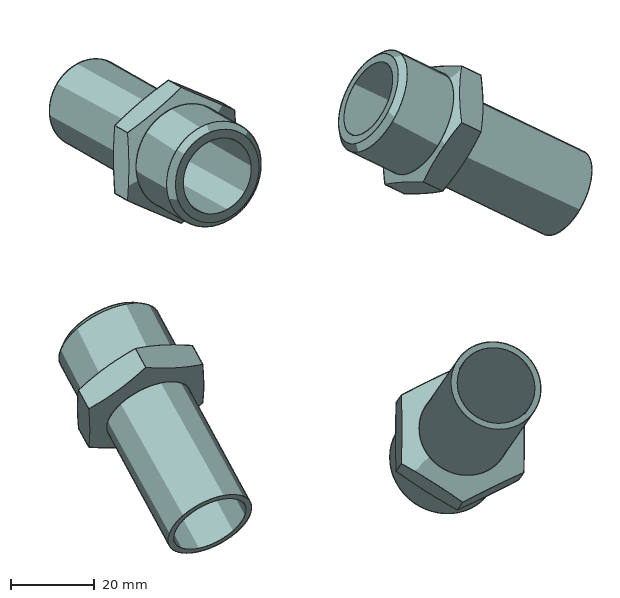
import cadquery as cq
import math

total_length = 59.0
nut_start = 34.9
nut_end = 43.5

bore_diameter = 19.0
tube_diameter = 22.0
collar_diameter = 26.45

across_flats = 30.0
across_corners = across_flats / math.cos(math.radians(30))
bevel_angle = 15.0
face_ring_width = 0.1
tube_face_diameter = tube_diameter + 2 * face_ring_width
collar_face_diameter = collar_diameter + 2 * face_ring_width

end_chamfer = 1.55


def cylinder(diameter, start, end):
    """Cylinder about the X axis between two X positions."""
    return cq.Workplane("YZ", origin=(start, 0, 0)).circle(diameter / 2).extrude(end - start)


def bevel_depth(face_diameter):
    """Axial depth of a bevel running from a face circle out to the hexagon corners."""
    return (across_corners - face_diameter) / 2 * math.tan(math.radians(bevel_angle))


def bevelled_nut():
    """Hexagon with corners along Z, bevelled by a cone on each side."""
    hexagon = (
        cq.Workplane("YZ", origin=(nut_start, 0, 0))
        .polygon(6, across_corners)
        .extrude(nut_end - nut_start)
        .rotate((0, 0, 0), (1, 0, 0), 90)
    )
    corner_radius = across_corners / 2
    envelope = (
        cq.Workplane("XY")
        .moveTo(nut_start, 0)
        .lineTo(nut_start, tube_face_diameter / 2)
        .lineTo(nut_start + bevel_depth(tube_face_diameter), corner_radius)
        .lineTo(nut_end - bevel_depth(collar_face_diameter), corner_radius)
        .lineTo(nut_end, collar_face_diameter / 2)
        .lineTo(nut_end, 0)
        .close()
        .revolve(360, (0, 0, 0), (1, 0, 0))
    )
    return hexagon.intersect(envelope)


tube = cylinder(tube_diameter, 0, nut_end)
collar = cylinder(collar_diameter, nut_end, total_length).faces(">X").chamfer(end_chamfer)
bore = cylinder(bore_diameter, 0, total_length)

result = tube.union(bevelled_nut()).union(collar).cut(bore)